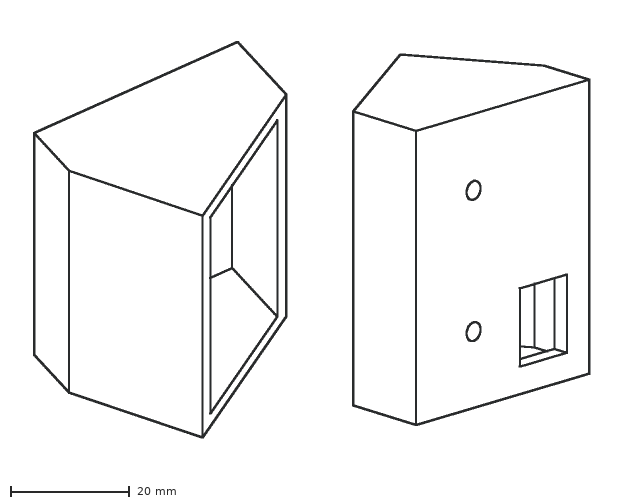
import cadquery as cq
import math

depth = 32.25
width = 40.75
height = 52.0
wall = 3.0

lower_side_length = 10.9
upper_side_length = 15.2
apex_y = 13.0

screw_diameter = 3.3
screw_y = 27.25
screw_count = 2
screw_pitch = 24.95
lower_screw_z = 13.5

window_y = 5.3
window_z = 4.9
window_width = 10.95
window_height = 13.85


def make_body():
    """Five-sided prism standing on the XY plane."""
    outline = [
        (0, 0),
        (lower_side_length, 0),
        (depth, apex_y),
        (upper_side_length, width),
        (0, width),
    ]
    return cq.Workplane("XY").polyline(outline).close().extrude(height)


def make_cavity():
    """Hollow that leaves every wall standing and opens through the large slanted face."""
    slant_angle = math.atan2(apex_y, depth - lower_side_length)
    inner_corner_x = lower_side_length - wall * math.tan(slant_angle / 2)
    far_x = inner_corner_x + (width - 2 * wall) / math.tan(slant_angle)
    inner_outline = [
        (wall, wall),
        (inner_corner_x, wall),
        (far_x, width - wall),
        (wall, width - wall),
    ]
    return (
        cq.Workplane("XY")
        .workplane(offset=wall)
        .polyline(inner_outline)
        .close()
        .extrude(height - 2 * wall)
    )


def make_screw_holes():
    """Round holes along X, one above the other."""
    centers = [(screw_y, lower_screw_z + i * screw_pitch) for i in range(screw_count)]
    return cq.Workplane("YZ").pushPoints(centers).circle(screw_diameter / 2).extrude(wall)


def make_window():
    """Rectangular opening along X."""
    return cq.Workplane("XY").box(wall, window_width, window_height, centered=False).translate(
        (0, window_y, window_z)
    )


result = make_body().cut(make_cavity()).cut(make_screw_holes()).cut(make_window())